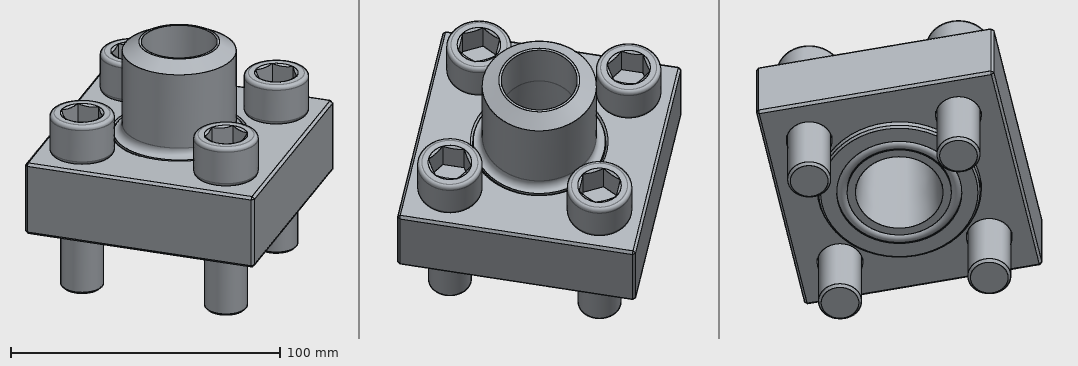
import cadquery as cq
import math

flange_side = 90.0
flange_height = 29.0
flange_edge_chamfer = 1.0
neck_hole_diameter = 49.5
neck_hole_chamfer = 0.8
shoulder_recess_diameter = 61.0
shoulder_recess_depth = 14.0
bolt_spacing = 56.6
bolt_hole_diameter = 17.0

nipple_top = 66.0
nipple_bottom = -2.3
shoulder_diameter = 60.0
shoulder_chamfer = 0.8
neck_diameter = 49.0
pipe_diameter = 42.4
bore_diameter = 28.2
bore_straight_length = 18.5
bore_inlet_diameter = 32.5
weld_land_diameter = 30.0
weld_bevel_angle = 30.0
root_radius = (neck_diameter - pipe_diameter) / 2

ring_outer_diameter = 46.47
ring_inner_diameter = 38.7
ring_bottom = -3.0
ring_section = (ring_outer_diameter - ring_inner_diameter) / 2
ring_center_radius = (ring_outer_diameter + ring_inner_diameter) / 4

bolt_diameter = 16.0
bolt_length = 55.0
bolt_end_chamfer = 1.0
head_diameter = 24.0
head_height = 16.0
head_top_fillet = 1.6
head_bottom_fillet = 1.5
hex_across_flats = 14.0
hex_across_corners = hex_across_flats / math.cos(math.radians(30))
hex_depth = 11.0
countersink_angle = 30.0
bolt_corners = [(-1, -1, 0), (1, -1, 90), (1, 1, 0), (-1, 1, 90)]


def cylinder(diameter, bottom, top):
    """Upright cylinder on the Z axis."""
    return cq.Workplane("XY").workplane(offset=bottom).circle(diameter / 2).extrude(top - bottom)


def bolt_centers():
    """XY positions of the four bolts."""
    return [(sx * bolt_spacing / 2, sy * bolt_spacing / 2) for sx, sy, _ in bolt_corners]


def make_flange():
    """Square block with the stepped hole for the nipple and four bolt holes."""
    block = cq.Workplane("XY").box(flange_side, flange_side, flange_height, centered=(True, True, False))
    block = block.edges().chamfer(flange_edge_chamfer)
    block = block.cut(cylinder(neck_hole_diameter, 0, flange_height))
    block = block.faces(">Z").edges("%CIRCLE").chamfer(neck_hole_chamfer)
    block = block.cut(cylinder(shoulder_recess_diameter, 0, shoulder_recess_depth))
    bolt_holes = (
        cq.Workplane("XY").pushPoints(bolt_centers()).circle(bolt_hole_diameter / 2).extrude(flange_height)
    )
    return block.cut(bolt_holes)


def make_ring_groove():
    """Square-cornered groove just wide and deep enough for the sealing ring."""
    groove_top = ring_bottom + ring_section
    outer = cylinder(ring_outer_diameter, nipple_bottom, groove_top)
    return outer.cut(cylinder(ring_inner_diameter, nipple_bottom, groove_top))


def make_nipple():
    """Turned nipple: shoulder below, bevelled pipe end above, bore narrowing upward from its inlet."""
    shoulder_radius = shoulder_diameter / 2
    pipe_radius = pipe_diameter / 2
    land_radius = weld_land_diameter / 2
    bevel_height = (pipe_radius - land_radius) * math.tan(math.radians(weld_bevel_angle))
    root_mid = root_radius * (1 - math.sqrt(0.5))
    profile = (
        cq.Workplane("XZ")
        .moveTo(bore_inlet_diameter / 2, nipple_bottom)
        .lineTo(shoulder_radius - shoulder_chamfer, nipple_bottom)
        .lineTo(shoulder_radius, nipple_bottom + shoulder_chamfer)
        .lineTo(shoulder_radius, shoulder_recess_depth)
        .lineTo(neck_diameter / 2, shoulder_recess_depth)
        .lineTo(neck_diameter / 2, flange_height)
        .threePointArc(
            (pipe_radius + root_mid, flange_height + root_mid),
            (pipe_radius, flange_height + root_radius),
        )
        .lineTo(pipe_radius, nipple_top - bevel_height)
        .lineTo(land_radius, nipple_top)
        .lineTo(bore_diameter / 2, nipple_top)
        .lineTo(bore_diameter / 2, nipple_top - bore_straight_length)
        .close()
    )
    nipple = profile.revolve(360, (0, 0, 0), (0, 1, 0))
    return nipple.cut(make_ring_groove())


def make_sealing_ring():
    """Round-section ring about the Z axis, standing slightly proud of the nipple face."""
    section_radius = ring_section / 2
    section = cq.Workplane("XZ").moveTo(ring_center_radius, ring_bottom + section_radius)
    section = section.circle(section_radius)
    return section.revolve(360, (0, 0, 0), (0, 1, 0))


def make_bolt():
    """Bolt on the Z axis with the underside of its head on Z = 0; two hexagon corners lie on X."""
    head = cylinder(head_diameter, 0, head_height)
    head = head.faces(">Z").edges().fillet(head_top_fillet)
    head = head.faces("<Z").edges().fillet(head_bottom_fillet)
    shank = cylinder(bolt_diameter, -bolt_length, 0).faces("<Z").edges().chamfer(bolt_end_chamfer)
    socket = cq.Workplane("XY").workplane(offset=head_height - hex_depth)
    socket = socket.polygon(6, hex_across_corners).extrude(hex_depth)
    cone_radius = hex_across_corners / 2
    cone_depth = cone_radius * math.tan(math.radians(countersink_angle))
    countersink = cq.Workplane(
        cq.Solid.makeCone(0, cone_radius, cone_depth, cq.Vector(0, 0, head_height - cone_depth))
    )
    return head.union(shank).cut(socket).cut(countersink)


def make_bolts():
    """The four bolts, heads resting on the flange."""
    bolt = make_bolt()
    bolts = []
    for (x, y), (_, _, turn) in zip(bolt_centers(), bolt_corners):
        placed = bolt.rotate((0, 0, 0), (0, 0, 1), turn).translate((x, y, flange_height))
        bolts.append(placed.val())
    return bolts


flange = make_flange()
nipple = make_nipple()
sealing_ring = make_sealing_ring()
result = cq.Compound.makeCompound([flange.val(), nipple.val(), sealing_ring.val(), *make_bolts()])